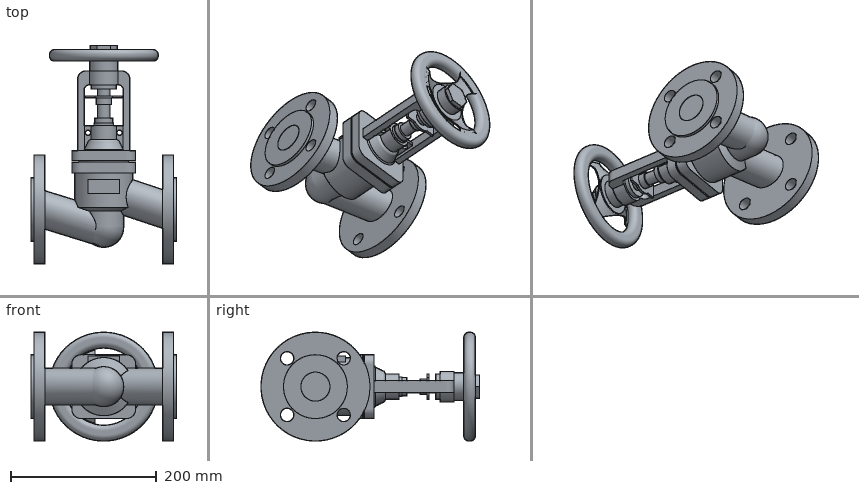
import cadquery as cq
import math


face_to_face = 200.0
flange_dia = 150.0
flange_thickness = 15.3
raised_face_dia = 87.7
raised_face_height = 4.0
bolt_circle_dia = 110.0
bolt_hole_dia = 18.0
bolt_count = 4
first_bolt_angle = 45
port_dia = 40.0
port_recess = 0.3

pipe_dia = 50.8
pipe_pivot_x = 83.0
pipe_overlap = 7.2
inlet_angle = 17.2
outlet_angle = 18.4
elbow_dia = 55.0
elbow_y = -24.5

body_dia = 80.0
body_cone_bottom_y = -2.5
body_bottom_y = 3.0
lower_flange_bottom_y = 50.0
bonnet_flange_size = 87.7
bonnet_flange_corner = 13.0
lower_flange_thickness = 15.3
upper_flange_thickness = 13.8
gasket_dia = 68.5
gasket_thickness = 1.8
label_length = 42.5
label_width = 19.8
label_center_y = 31.5
label_top_z = 42.3

dome_base_radius = 29.0
dome_foot_radius = 27.0
dome_foot_height = 1.5
dome_shoulder_radius = 22.2
dome_shoulder_y = 92.0
dome_shoulder_bulge = 1.0
neck_bottom_y = 96.0
neck_top_y = 115.0
neck_dia = 35.0
gland_flange_dia = 27.0
gland_flange_top_y = 118.5
gland_dia = 25.2
gland_top_y = 125.5

stem_dia = 17.5
collar_dia = 21.3
collar_bottom_y = 144.0
guide_bottom_y = 153.2
guide_top_y = 156.2
guide_length = 50.5
guide_middle_radius = 17.5
guide_end_height = 25.2

yoke_width = 72.0
yoke_opening = 53.5
yoke_thickness = 16.5
yoke_top_y = 190.5
yoke_crossbar_bottom_y = 171.2
yoke_outer_corner = 11.7
yoke_inner_corner = 7.0
ear_thickness = 4.8
ear_hole_dia = 7.0
ear_hole_x = 21.5
ear_hole_y = 105.5
yoke_boss_dia = 42.3
bush_dia = 34.8
bush_bottom_y = 165.2
sleeve_dia = 38.7

wheel_dia = 150.0
rim_bottom_y = 203.5
rim_height = 16.2
rim_inner_radius = 53.0
rim_outer_corner = 7.5
rim_inner_corner = 7.8
wheel_hub_radius = 28.2
spoke_count = 3
web_thickness = 1.8
web_cone_radius = 51.7
web_cone_rise = 14.0
window_base_distance = 30.0
window_base_half_width = 31.0
window_side_angle = 30
window_corner = 6.0
nut_across_flats = 32.5
nut_top_y = 225.4

lower_flange_top_y = lower_flange_bottom_y + lower_flange_thickness
upper_flange_bottom_y = lower_flange_top_y + gasket_thickness
upper_flange_top_y = upper_flange_bottom_y + upper_flange_thickness
rim_top_y = rim_bottom_y + rim_height


def plane_at_y(y):
    """Plane facing +Y, with its local x along X and its local y along -Z."""
    return cq.Workplane(cq.Plane((0, y, 0), xDir=(1, 0, 0), normal=(0, 1, 0)))


def disc(diameter, y_bottom, y_top):
    """Cylinder on the spindle axis."""
    return plane_at_y(y_bottom).circle(diameter / 2).extrude(y_top - y_bottom)


def plate_z(sketch, thickness):
    """Extrude an XY outline symmetrically about the Z = 0 plane."""
    return sketch.extrude(thickness / 2, both=True)


def pipe_flange(side):
    """Flange with raised face; side is -1 for the inlet and +1 for the outlet."""
    outer_face = cq.Plane((side * face_to_face / 2, 0, 0), xDir=(0, 1, 0), normal=(-side, 0, 0))
    face = cq.Workplane(outer_face)
    flange = (
        face.workplane(offset=raised_face_height)
        .circle(flange_dia / 2)
        .extrude(flange_thickness)
        .union(face.circle(raised_face_dia / 2).extrude(raised_face_height))
    )
    bolt_holes = (
        face.polarArray(bolt_circle_dia / 2, first_bolt_angle, 360, bolt_count)
        .circle(bolt_hole_dia / 2)
        .extrude(raised_face_height + flange_thickness)
    )
    port = face.circle(port_dia / 2).extrude(port_recess)
    return flange.cut(bolt_holes).cut(port)


def pipe_branch(side, angle):
    """Sloping pipe from inside a flange to the spindle axis, crossing Y = 0 at the pivot."""
    slope = math.radians(angle)
    direction = cq.Vector(-side * math.cos(slope), side * math.sin(slope), 0)
    start = cq.Vector(side * pipe_pivot_x, 0, 0) - direction * pipe_overlap
    length = pipe_pivot_x / math.cos(slope) + pipe_overlap
    end_plane = cq.Plane(start, xDir=(0, 0, 1), normal=direction)
    return cq.Workplane(end_plane).circle(pipe_dia / 2).extrude(length)


def valve_body():
    """Spherical elbow, throat and conical-bottomed body with the name plate pad on top."""
    elbow = cq.Workplane("XY").sphere(elbow_dia / 2).translate((0, elbow_y, 0))
    throat = disc(elbow_dia, elbow_y, body_bottom_y)
    shell = (
        cq.Workplane("XY")
        .moveTo(0, body_cone_bottom_y)
        .lineTo(elbow_dia / 2, body_cone_bottom_y)
        .lineTo(body_dia / 2, body_bottom_y)
        .lineTo(body_dia / 2, lower_flange_bottom_y)
        .lineTo(0, lower_flange_bottom_y)
        .close()
        .revolve(360, (0, 0, 0), (0, 1, 0))
    )
    label = (
        cq.Workplane("XY", origin=(0, label_center_y, 0))
        .rect(label_length, label_width)
        .extrude(label_top_z)
    )
    return elbow.union(throat).union(shell).union(label)


def bonnet_flange(y_bottom, thickness):
    """Square flange with rounded corners."""
    return (
        plane_at_y(y_bottom)
        .rect(bonnet_flange_size, bonnet_flange_size)
        .extrude(thickness)
        .edges("|Y")
        .fillet(bonnet_flange_corner)
    )


def bonnet():
    """Domed bonnet with its neck and gland."""
    dome_foot_y = upper_flange_top_y + dome_foot_height
    dome = (
        cq.Workplane("XY")
        .moveTo(0, upper_flange_top_y)
        .lineTo(dome_base_radius, upper_flange_top_y)
        .lineTo(dome_foot_radius, dome_foot_y)
        .lineTo(dome_shoulder_radius, dome_shoulder_y)
        .sagittaArc((neck_dia / 2, neck_bottom_y), -dome_shoulder_bulge)
        .lineTo(0, neck_bottom_y)
        .close()
        .revolve(360, (0, 0, 0), (0, 1, 0))
    )
    neck = disc(neck_dia, neck_bottom_y, neck_top_y)
    gland_flange = disc(gland_flange_dia, neck_top_y, gland_flange_top_y)
    gland = disc(gland_dia, gland_flange_top_y, gland_top_y)
    return dome.union(neck).union(gland_flange).union(gland)


def stem():
    """Stem with its collar and anti-rotation guide plate."""
    rod = disc(stem_dia, gland_top_y, bush_bottom_y)
    collar = disc(collar_dia, collar_bottom_y, guide_bottom_y)
    thickness = guide_top_y - guide_bottom_y
    guide = (
        plane_at_y(guide_bottom_y)
        .rect(guide_length, guide_end_height)
        .extrude(thickness)
        .union(disc(2 * guide_middle_radius, guide_bottom_y, guide_top_y))
    )
    return rod.union(collar).union(guide)


def yoke():
    """Arched frame with drilled ears at its foot and a round boss in its crossbar."""
    height = yoke_top_y - upper_flange_top_y
    opening_height = yoke_crossbar_bottom_y - upper_flange_top_y
    base = cq.Workplane("XY", origin=(0, upper_flange_top_y, 0))
    frame = plate_z(base.center(0, height / 2).rect(yoke_width, height), yoke_thickness)
    frame = frame.edges("|Z and >Y").fillet(yoke_outer_corner)
    opening_outline = base.center(0, opening_height / 2).rect(yoke_opening, opening_height)
    opening = plate_z(opening_outline, yoke_thickness)
    opening = opening.edges("|Z and >Y").fillet(yoke_inner_corner)

    ear_height = neck_top_y - upper_flange_top_y
    ears = plate_z(base.center(0, ear_height / 2).rect(yoke_opening, ear_height), ear_thickness)
    holes = plate_z(
        cq.Workplane("XY")
        .pushPoints([(-ear_hole_x, ear_hole_y), (ear_hole_x, ear_hole_y)])
        .circle(ear_hole_dia / 2),
        ear_thickness,
    )
    boss = disc(yoke_boss_dia, yoke_crossbar_bottom_y, yoke_top_y)
    bush = disc(bush_dia, bush_bottom_y, yoke_crossbar_bottom_y)
    return frame.cut(opening).union(ears.cut(holes)).union(boss).union(bush)


def rim():
    """Ring with rounded corners, leaving narrow flats on all four sides."""
    outer_radius = wheel_dia / 2
    return (
        cq.Workplane("XY")
        .moveTo(rim_inner_radius + rim_inner_corner, rim_bottom_y)
        .lineTo(outer_radius - rim_outer_corner, rim_bottom_y)
        .radiusArc((outer_radius, rim_bottom_y + rim_outer_corner), -rim_outer_corner)
        .lineTo(outer_radius, rim_top_y - rim_outer_corner)
        .radiusArc((outer_radius - rim_outer_corner, rim_top_y), -rim_outer_corner)
        .lineTo(rim_inner_radius + rim_inner_corner, rim_top_y)
        .radiusArc((rim_inner_radius, rim_top_y - rim_inner_corner), -rim_inner_corner)
        .lineTo(rim_inner_radius, rim_bottom_y + rim_inner_corner)
        .radiusArc((rim_inner_radius + rim_inner_corner, rim_bottom_y), -rim_inner_corner)
        .close()
        .revolve(360, (0, 0, 0), (0, 1, 0))
    )


def spoke_web():
    """Dished web rising from the hub to the rim, opened by windows that leave the spokes."""
    web_end_radius = rim_inner_radius + rim_inner_corner
    web_end_y = rim_bottom_y + web_cone_rise
    web = (
        cq.Workplane("XY")
        .moveTo(0, rim_bottom_y)
        .lineTo(wheel_hub_radius, rim_bottom_y)
        .lineTo(web_cone_radius, web_end_y)
        .lineTo(web_end_radius, web_end_y)
        .lineTo(web_end_radius, web_end_y + web_thickness)
        .lineTo(web_cone_radius, web_end_y + web_thickness)
        .lineTo(wheel_hub_radius, rim_bottom_y + web_thickness)
        .lineTo(0, rim_bottom_y + web_thickness)
        .close()
        .revolve(360, (0, 0, 0), (0, 1, 0))
    )
    depth = web_end_radius - window_base_distance
    top_half_width = window_base_half_width + depth * math.tan(math.radians(window_side_angle))
    window = (
        plane_at_y(rim_bottom_y)
        .moveTo(window_base_distance, -window_base_half_width)
        .lineTo(web_end_radius, -top_half_width)
        .lineTo(web_end_radius, top_half_width)
        .lineTo(window_base_distance, window_base_half_width)
        .close()
        .extrude(rim_height)
        .edges("|Y and <X")
        .fillet(window_corner)
    )

    for spoke in range(spoke_count):
        window_angle = (spoke + 0.5) * 360 / spoke_count
        web = web.cut(window.rotate((0, 0, 0), (0, 1, 0), window_angle))
    return web


def handwheel():
    """Rim, web, supporting sleeve and the nut on top."""
    sleeve = disc(sleeve_dia, yoke_top_y, rim_top_y)
    corner_dia = nut_across_flats / math.cos(math.radians(30))
    nut = plane_at_y(rim_top_y).polygon(6, corner_dia).extrude(nut_top_y - rim_top_y)
    return rim().union(spoke_web()).union(sleeve).union(nut)


result = (
    valve_body()
    .union(pipe_branch(-1, inlet_angle))
    .union(pipe_branch(1, outlet_angle))
    .union(pipe_flange(-1))
    .union(pipe_flange(1))
    .union(bonnet_flange(lower_flange_bottom_y, lower_flange_thickness))
    .union(disc(gasket_dia, lower_flange_top_y, upper_flange_bottom_y))
    .union(bonnet_flange(upper_flange_bottom_y, upper_flange_thickness))
    .union(bonnet())
    .union(stem())
    .union(yoke())
    .union(handwheel())
)